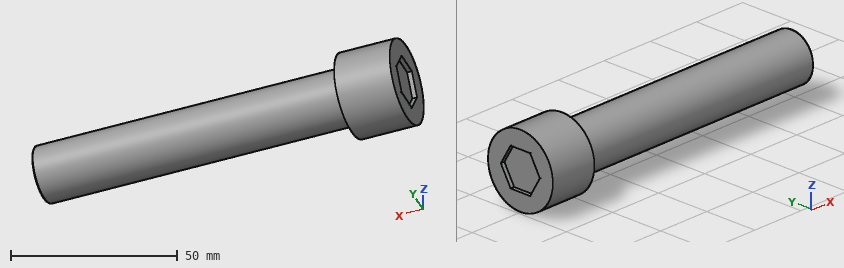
import cadquery as cq
import math

total_length = 118.0
shank_diameter = 18.0
head_diameter = 27.0
head_height = shank_diameter
socket_across_flats = 14.0
socket_depth = 1.5
tip_chamfer = 0.4

socket_across_corners = socket_across_flats / math.cos(math.pi / 6)
head_face_x = -total_length / 2


def cylinder_along_x(start_x, diameter, length):
    return cq.Workplane("YZ", origin=(start_x, 0, 0)).circle(diameter / 2).extrude(length)


def hex_socket():
    """Hexagonal recess with its corners on the Y axis and flats facing +Z and -Z."""
    return (
        cq.Workplane("YZ", origin=(head_face_x, 0, 0))
        .polygon(6, socket_across_corners)
        .extrude(socket_depth)
    )


head = cylinder_along_x(head_face_x, head_diameter, head_height)
shank = cylinder_along_x(head_face_x, shank_diameter, total_length).faces(">X").chamfer(tip_chamfer)

result = head.union(shank).cut(hex_socket())